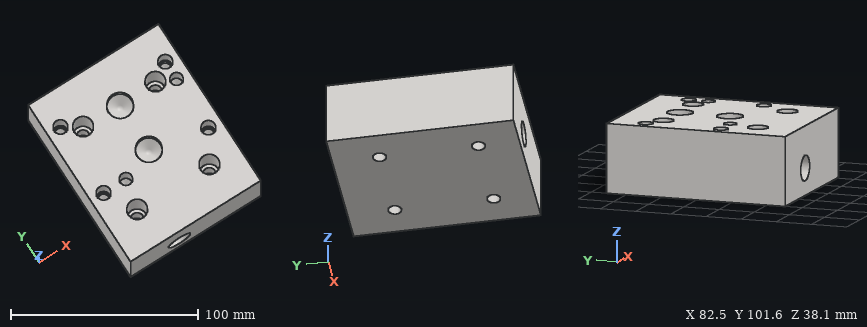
import cadquery as cq
import math

LENGTH_X = 82.5
WIDTH_Y = 101.6
HEIGHT_Z = 38.1

POINT_ANGLE = 118.0

BOLT_DIAMETER = 7.1
BOLT_HEAD_DIAMETER = 11.1
BOLT_HEAD_DEPTH = 24.4
BOLT_SPACING_X = 45.7
BOLT_REAR_Y = 25.1
BOLT_FRONT_Y = -28.5

MAIN_DIAMETER = 14.3
MAIN_DEPTH = 4.3
MAIN_REAR_Y = 24.2
MAIN_FRONT_Y = -4.3

THREAD_DIAMETER = 7.9
THREAD_DEPTH = 14.2
THREAD_DRILL_DIAMETER = 6.7
THREAD_DRILL_DEPTH = 18.3
THREAD_SPACING_X = 66.3
THREAD_REAR_Y = 31.4
THREAD_FRONT_Y = -11.4

PILOT_DIAMETER = 7.1
PILOT_DEPTH = 14.2
PILOT_RIGHT_Y = 20.2
PILOT_LEFT_X = -19.0

DRAIN_DIAMETER = 13.8
DRAIN_DEPTH = 12.2
DRAIN_DRILL_DIAMETER = 10.8
DRAIN_DRILL_DEPTH = 16.3
DRAIN_X = -10.3
DRAIN_Z = 15.0

DOWN = cq.Vector(0, 0, -1)
INWARD = cq.Vector(0, 1, 0)


def bore(mouth, direction, diameter, depth):
    """Flat-ended cylinder running from its mouth into the block."""
    return cq.Workplane(cq.Solid.makeCylinder(diameter / 2, depth, mouth, direction))


def drilling(mouth, direction, diameter, depth):
    """Bore of the given full-diameter depth, ending in a conical drill point."""
    radius = diameter / 2
    point_length = radius / math.tan(math.radians(POINT_ANGLE / 2))
    shoulder = mouth + direction * depth
    point = cq.Solid.makeCone(radius, 0, point_length, shoulder, direction)
    return bore(mouth, direction, diameter, depth).union(cq.Workplane(point))


def top_point(x, y):
    return cq.Vector(x, y, HEIGHT_Z)


result = cq.Workplane("XY").box(LENGTH_X, WIDTH_Y, HEIGHT_Z, centered=(True, True, False))

for side in (-1, 1):
    for y in (BOLT_REAR_Y, BOLT_FRONT_Y):
        mouth = top_point(side * BOLT_SPACING_X / 2, y)
        result = result.cut(bore(mouth, DOWN, BOLT_DIAMETER, HEIGHT_Z))
        result = result.cut(bore(mouth, DOWN, BOLT_HEAD_DIAMETER, BOLT_HEAD_DEPTH))

    for y in (THREAD_REAR_Y, THREAD_FRONT_Y):
        mouth = top_point(side * THREAD_SPACING_X / 2, y)
        result = result.cut(drilling(mouth, DOWN, THREAD_DRILL_DIAMETER, THREAD_DRILL_DEPTH))
        result = result.cut(bore(mouth, DOWN, THREAD_DIAMETER, THREAD_DEPTH))

for y in (MAIN_REAR_Y, MAIN_FRONT_Y):
    result = result.cut(drilling(top_point(0, y), DOWN, MAIN_DIAMETER, MAIN_DEPTH))

for x, y in ((THREAD_SPACING_X / 2, PILOT_RIGHT_Y), (PILOT_LEFT_X, THREAD_FRONT_Y)):
    result = result.cut(drilling(top_point(x, y), DOWN, PILOT_DIAMETER, PILOT_DEPTH))

drain_mouth = cq.Vector(DRAIN_X, -WIDTH_Y / 2, DRAIN_Z)
result = result.cut(drilling(drain_mouth, INWARD, DRAIN_DRILL_DIAMETER, DRAIN_DRILL_DEPTH))
result = result.cut(bore(drain_mouth, INWARD, DRAIN_DIAMETER, DRAIN_DEPTH))